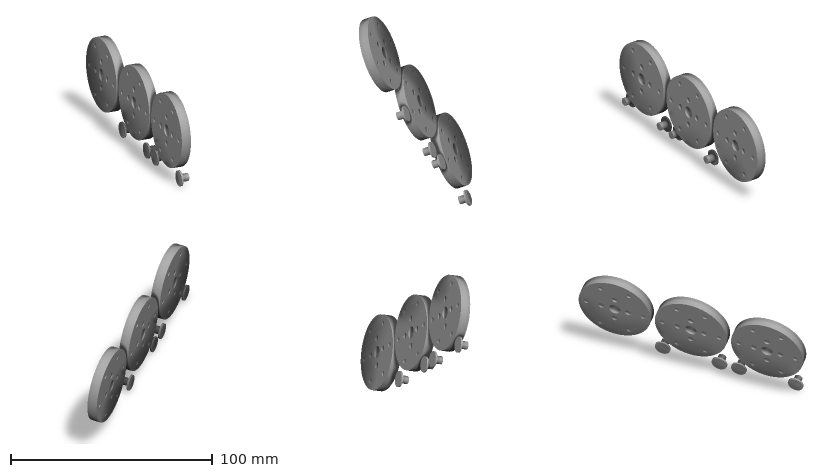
import cadquery as cq

total_length = 118.2
total_height = 43.1
thickness = 5.0

disc_diameter = 38.0
disc_count = 3
disc_pitch = (total_length - disc_diameter) / (disc_count - 1)
bore_diameter = 6.0
inner_hole_diameter = 3.1
inner_hole_count = 4
inner_circle_radius = 7.0
outer_hole_diameter = 2.5
outer_hole_count = 6

head_diameter = 8.0
head_thickness = 1.0
shank_diameter = 4.0
pin_offset = (disc_diameter - head_diameter) / 2
pin_drop = total_height - (disc_diameter + head_diameter) / 2

outer_circle_radius = pin_offset


def front_plane(x, z):
    """Plane on the front face y = 0, with its normal pointing to the back (+Y)."""
    return cq.Workplane(cq.Plane(origin=(x, 0, z), xDir=(1, 0, 0), normal=(0, 1, 0)))


def hole_cutter(center_x, circle_radius, hole_diameter, count):
    """Through cylinders evenly spaced on a circle, the first one on the X axis."""
    return (
        front_plane(center_x, 0)
        .polarArray(circle_radius, 0, 360, count)
        .circle(hole_diameter / 2)
        .extrude(thickness)
    )


def make_disc(center_x):
    """Round plate with a central bore and two circles of through holes."""
    blank = (
        front_plane(center_x, 0)
        .circle(disc_diameter / 2)
        .circle(bore_diameter / 2)
        .extrude(thickness)
    )
    inner_holes = hole_cutter(center_x, inner_circle_radius, inner_hole_diameter, inner_hole_count)
    outer_holes = hole_cutter(center_x, outer_circle_radius, outer_hole_diameter, outer_hole_count)
    return blank.cut(inner_holes).cut(outer_holes)


def make_pin(center_x):
    """Pin with a thin round head at the front and its shank running to the back."""
    head = front_plane(center_x, -pin_drop).circle(head_diameter / 2).extrude(head_thickness)
    shank = front_plane(center_x, -pin_drop).circle(shank_diameter / 2).extrude(thickness)
    return head.union(shank)


disc_centers = [index * disc_pitch for index in range(disc_count)]
discs = [make_disc(center_x) for center_x in disc_centers]

pins = []
for center_x in disc_centers[1:]:
    for side in (-1, 1):
        pins.append(make_pin(center_x + side * pin_offset))

result = cq.Compound.makeCompound([body.val() for body in discs + pins])